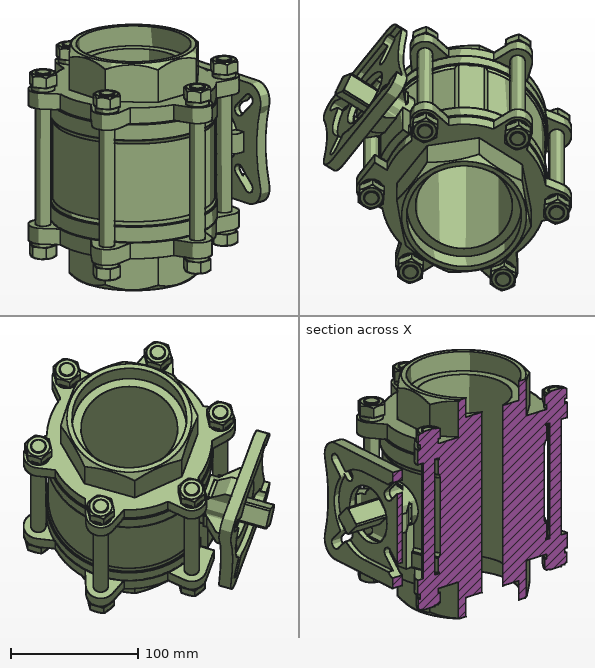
import cadquery as cq
import math


overall_height = 188.0
end_sides = 8
end_across_flats = 100.0
end_chamfer_radial = 1.0
end_chamfer_height = 5.0
bore_dia = 76.0
thread_dia = 90.0
thread_depth = 16.5

flange_radius = 65.0
flange_outer_z = 62.3
flange_inner_z = 49.3
lug_circle_radius = 73.0
lug_radius = 11.7
lug_count = 6
lug_flare_angle = 20.0

body_dia = 127.5
neck_radius = 64.8
collar_radius = 65.8
seal_radius = 64.8
collar_outer_z = 48.5
collar_inner_z = 36.0
neck_z = 35.2
barrel_z = 32.1

label_pad_angle = 150.0
label_pad_distance = 64.6
label_pad_flat_width = 19.9
label_pad_edge_width = 23.7
label_pad_edge_distance = 63.5
label_pad_foot_width = 27.2
label_pad_foot_distance = 62.0

rod_dia = 12.0
rod_tip_chamfer = 0.5
rod_half_length = 76.7
washer_dia = 18.5
washer_outer_z = 66.0
nut_sides = 6
nut_across_flats = 19.3
nut_outer_z = 76.0
nut_chamfer_radial = 0.8
nut_chamfer_height = 1.5

pad_inner_y = 90.0
pad_thickness = 9.8
pad_half_side = 50.0
pad_corner_radius = 13.8
pad_waist_half_width = 45.3
waist_half_height = 32.9
pad_bore_dia = 47.0
recess_radius = 37.5
recess_depth = 4.5
recess_slot_fillet = 2.0
pad_slot_width = 9.0
pad_slot_inner_radius = 35.0

neck_housing_radius = 19.3
housing_top_y = 85.1
rib_thickness = 16.3
rib_outer = 30.8
rib_inner = 21.8
rib_shoulder_y = 81.7
rib_shoulder_fillet = 2.3
rib_foot = 19.5
rib_foot_y = 67.5
rib_root = 15.3
rib_inner_fillet = 1.7
rib_side_fillet = 1.7

web_outer_radius = 71.1
web_width = 30.6
stop_tab_inner_y = 57.4

stem_base_y = rib_foot_y
stem_across_flats = 16.8
stem_across_corners = 21.8
stem_end_y = 116.3

end_half_height = overall_height / 2
body_radius = body_dia / 2
pad_outer_y = pad_inner_y + pad_thickness
pad_corner_center = pad_half_side - pad_corner_radius
lug_pitch = 360 / lug_count
lug_angles = [i * lug_pitch for i in range(lug_count)]


def z_cylinder(radius, z_from, z_to):
    return cq.Workplane("XY").workplane(offset=z_from).circle(radius).extrude(z_to - z_from)


def y_plane(y):
    """Plane facing +Y whose local x and y are the part's -X and Z."""
    return cq.Workplane(cq.Plane(origin=(0, y, 0), xDir=(-1, 0, 0), normal=(0, 1, 0)))


def chamfered_prism(sides, across_flats, z_from, z_to, tip_radius, chamfer_height):
    """Upright regular prism with flats square to +X and -X, its top corners turned off by a cone."""
    corner_radius = across_flats / 2 / math.cos(math.pi / sides)
    prism = (
        cq.Workplane("XY")
        .workplane(offset=z_from)
        .polygon(sides, 2 * corner_radius)
        .extrude(z_to - z_from)
        .rotate((0, 0, 0), (0, 0, 1), 180 / sides)
    )
    turned = (
        cq.Workplane("XZ")
        .moveTo(0, z_from)
        .lineTo(corner_radius, z_from)
        .lineTo(corner_radius, z_to - chamfer_height)
        .lineTo(tip_radius, z_to)
        .lineTo(0, z_to)
        .close()
        .revolve(360, (0, 0, 0), (0, 1, 0))
    )
    return prism.intersect(turned)


def make_flange():
    """Upper flange: a disc with flared bolt lugs."""
    flare = math.radians(lug_flare_angle)
    tangent_x = lug_circle_radius + lug_radius * math.sin(flare)
    tangent_y = lug_radius * math.cos(flare)
    root_x = flange_radius / 2
    root_y = tangent_y + (tangent_x - root_x) * math.tan(flare)
    lug = (
        cq.Workplane("XY")
        .workplane(offset=flange_inner_z)
        .moveTo(root_x, -root_y)
        .lineTo(tangent_x, -tangent_y)
        .threePointArc((lug_circle_radius + lug_radius, 0), (tangent_x, tangent_y))
        .lineTo(root_x, root_y)
        .close()
        .extrude(flange_outer_z - flange_inner_z)
    )
    flange = z_cylinder(flange_radius, flange_inner_z, flange_outer_z)
    for angle in lug_angles:
        flange = flange.union(lug.rotate((0, 0, 0), (0, 0, 1), angle))
    return flange


def make_end_piece():
    """Upper end: flange with an octagonal socket."""
    octagon = chamfered_prism(
        end_sides, end_across_flats, flange_inner_z, end_half_height,
        end_across_flats / 2 - end_chamfer_radial, end_chamfer_height,
    )
    return make_flange().union(octagon)


def make_body():
    """Turned centre body with a raised collar at each end."""
    profile = [
        (0, 0),
        (body_radius, 0),
        (body_radius, barrel_z),
        (neck_radius, neck_z),
        (collar_radius, collar_inner_z),
        (collar_radius, collar_outer_z),
        (seal_radius, collar_outer_z),
        (seal_radius, flange_inner_z),
        (0, flange_inner_z),
    ]
    half = cq.Workplane("XZ").polyline(profile).close().revolve(360, (0, 0, 0), (0, 1, 0))
    body = half.union(half.mirror("XY"))

    half_outline = [
        (label_pad_foot_distance, label_pad_foot_width / 2),
        (label_pad_edge_distance, label_pad_edge_width / 2),
        (label_pad_distance, label_pad_flat_width / 2),
    ]
    mirrored_outline = [(x, -y) for x, y in reversed(half_outline)]
    label_pad = (
        cq.Workplane("XY")
        .workplane(offset=-neck_z)
        .moveTo(0, 0)
        .polyline(half_outline + mirrored_outline, includeCurrent=True)
        .close()
        .extrude(2 * neck_z)
        .rotate((0, 0, 0), (0, 0, 1), label_pad_angle)
    )
    return body.union(label_pad)


def make_bolt_end():
    """Upper half of a tie rod with its washer and nut."""
    rod = z_cylinder(rod_dia / 2, 0, rod_half_length).faces(">Z").chamfer(rod_tip_chamfer)
    washer = z_cylinder(washer_dia / 2, flange_outer_z, washer_outer_z)
    nut = chamfered_prism(
        nut_sides, nut_across_flats, washer_outer_z, nut_outer_z,
        nut_across_flats / 2 - nut_chamfer_radial, nut_chamfer_height,
    )
    return rod.union(washer).union(nut)


def make_mounting_pad():
    """Square actuator pad with hollowed sides, slots and an open recess."""
    c = pad_corner_center
    s = pad_half_side
    w = waist_half_height
    waist_x = c + math.sqrt(pad_corner_radius**2 - (c - w) ** 2)
    mid = pad_corner_radius * math.sqrt(0.5)
    pad = (
        y_plane(pad_inner_y)
        .moveTo(-c, s)
        .lineTo(c, s)
        .threePointArc((c + mid, c + mid), (waist_x, w))
        .threePointArc((pad_waist_half_width, 0), (waist_x, -w))
        .threePointArc((c + mid, -c - mid), (c, -s))
        .lineTo(-c, -s)
        .threePointArc((-c - mid, -c - mid), (-waist_x, -w))
        .threePointArc((-pad_waist_half_width, 0), (-waist_x, w))
        .threePointArc((-c - mid, c + mid), (-c, s))
        .close()
        .extrude(pad_thickness)
    )
    pad = pad.cut(y_plane(pad_inner_y).circle(pad_bore_dia / 2).extrude(pad_thickness))

    slot_outer_radius = pad_corner_center * math.sqrt(2)
    slot_length = slot_outer_radius - pad_slot_inner_radius + pad_slot_width
    slot_middle = (slot_outer_radius + pad_slot_inner_radius) / 2
    slots = (
        y_plane(pad_inner_y)
        .polarArray(slot_middle, 45, 360, 4)
        .slot2D(slot_length, pad_slot_width)
        .extrude(pad_thickness)
    )

    floor_y = pad_outer_y - recess_depth
    recess = (
        y_plane(floor_y)
        .moveTo(0, recess_radius)
        .lineTo(pad_half_side, recess_radius)
        .lineTo(pad_half_side, -recess_radius)
        .lineTo(0, -recess_radius)
        .threePointArc((-recess_radius, 0), (0, recess_radius))
        .close()
        .extrude(recess_depth)
    )
    outer_layer = cq.Workplane("XY").box(pad_half_side, pad_thickness, 2 * pad_half_side)
    outer_layer = outer_layer.translate((pad_half_side / 2, floor_y + pad_thickness / 2, 0))
    recess = recess.union(slots.intersect(outer_layer))
    round_end_corners = cq.selectors.BoxSelector(
        (recess_radius / 2, floor_y, -recess_radius + recess_slot_fillet),
        (recess_radius, pad_outer_y, recess_radius - recess_slot_fillet),
    )
    recess = recess.edges("|Y").edges(round_end_corners).fillet(recess_slot_fillet)
    return pad.cut(slots).cut(recess)


def make_neck():
    """Stem housing with four ribs carrying the mounting pad."""
    rib_drop = rib_shoulder_y - rib_outer
    rib_root_y = rib_drop + rib_root
    neck = y_plane(0).circle(neck_housing_radius).extrude(housing_top_y)
    rib = (
        cq.Workplane("XY")
        .workplane(offset=-rib_thickness / 2)
        .moveTo(0, rib_root_y)
        .lineTo(rib_root, rib_root_y)
        .lineTo(rib_outer, rib_shoulder_y)
        .lineTo(rib_outer, pad_inner_y)
        .lineTo(rib_inner, pad_inner_y)
        .lineTo(rib_inner, housing_top_y)
        .lineTo(0, housing_top_y)
        .close()
        .extrude(rib_thickness)
    )
    shoulder = cq.selectors.NearestToPointSelector((rib_outer, rib_shoulder_y, 0))
    rib = rib.edges("|Z").edges(shoulder).fillet(rib_shoulder_fillet)
    inner_corner = cq.selectors.NearestToPointSelector((rib_inner, housing_top_y, 0))
    rib = rib.edges("|Z").edges(inner_corner).fillet(rib_inner_fillet)
    for angle in (0, 90, 180, 270):
        neck = neck.union(rib.rotate((0, 0, 0), (0, 1, 0), angle))
    r = neck_housing_radius
    corner_box = cq.selectors.BoxSelector((-r, 0, -r), (r, housing_top_y, r))
    neck = neck.edges("|Y").edges(corner_box).fillet(rib_side_fillet)

    foot_height = rib_drop + rib_foot - rib_foot_y
    foot_y = rib_foot_y + foot_height / 2
    foot_pair = cq.Workplane("XY").box(2 * rib_foot, foot_height, rib_thickness).translate((0, foot_y, 0))
    return neck.union(foot_pair).union(foot_pair.rotate((0, 0, 0), (0, 1, 0), 90))


def make_web():
    """Rounded thickening of the body between the stem housing and the lower flange."""
    depth = web_outer_radius - stop_tab_inner_y
    block = cq.Workplane("XY").box(web_width, depth, collar_outer_z, centered=(True, False, False))
    block = block.translate((0, stop_tab_inner_y, -collar_outer_z))
    return block.intersect(z_cylinder(web_outer_radius, -collar_outer_z, 0))


def make_stop_tab():
    """Tab that squares off the side of the lower flange lug at +X, +Y."""
    lug_angle = math.radians(lug_pitch)
    lug_x = lug_circle_radius * math.cos(lug_angle)
    lug_y = lug_circle_radius * math.sin(lug_angle)
    inner_x = web_width / 2
    width = lug_x - inner_x
    depth = lug_y + lug_radius - stop_tab_inner_y
    tab = cq.Workplane("XY").box(width, depth, flange_outer_z - flange_inner_z, centered=False)
    return tab.translate((inner_x, stop_tab_inner_y, -flange_outer_z))


def make_stem():
    """Square stem set on edge, with its corners cut flat."""
    length = stem_end_y - stem_base_y
    square = (
        y_plane(stem_base_y)
        .rect(stem_across_flats, stem_across_flats)
        .extrude(length)
        .rotate((0, 0, 0), (0, 1, 0), 45)
    )
    corner_limit = y_plane(stem_base_y).rect(stem_across_corners, stem_across_corners).extrude(length)
    return square.intersect(corner_limit)


upper = make_end_piece()
bolt_end = make_bolt_end().translate((lug_circle_radius, 0, 0))
for lug_angle in lug_angles:
    upper = upper.union(bolt_end.rotate((0, 0, 0), (0, 0, 1), lug_angle))

result = make_body().union(upper).union(upper.mirror("XY"))
result = result.union(make_web()).union(make_stop_tab())
result = result.union(make_neck()).union(make_mounting_pad()).union(make_stem())

result = result.cut(z_cylinder(bore_dia / 2, -end_half_height, end_half_height))
thread = z_cylinder(thread_dia / 2, end_half_height - thread_depth, end_half_height)
result = result.cut(thread).cut(thread.mirror("XY"))